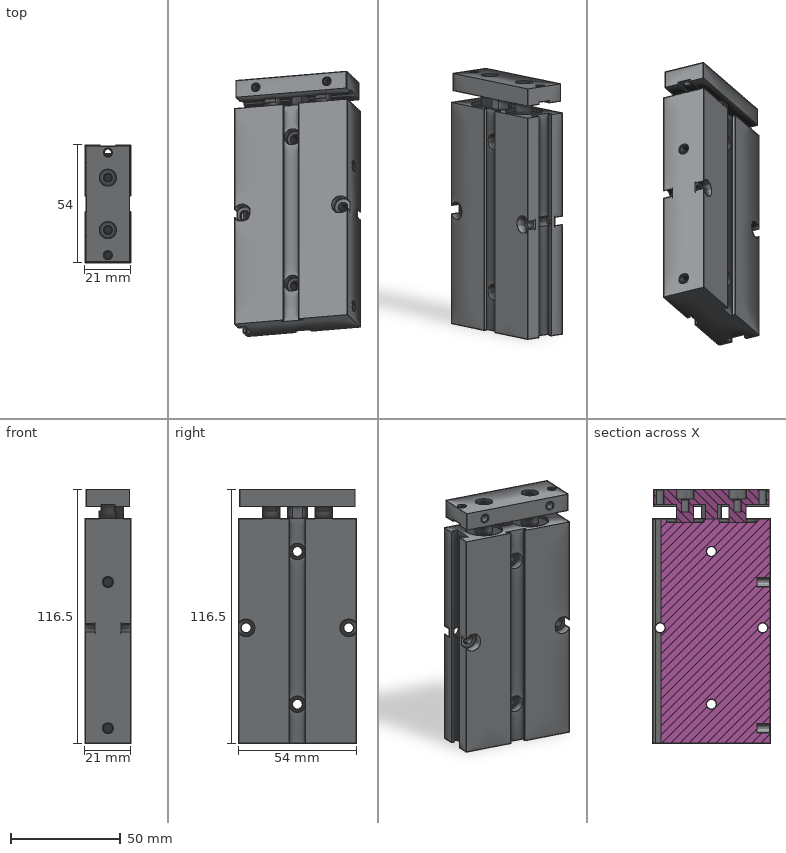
import cadquery as cq
import math


EDGE_CHAMFER = 0.2

HOUSING_X = 21.0
HOUSING_Y = 54.0
HOUSING_Z = 103.0

PLATE_X = 20.0
PLATE_Y = 53.0
PLATE_Z = 8.0
PLATE_GAP = 5.5
PLATE_BOTTOM = HOUSING_Z + PLATE_GAP
PLATE_TOP = PLATE_BOTTOM + PLATE_Z

ROD_DIAMETER = 8.0
ROD_Y = 12.0
FLAT_WIDTH = 6.3
ROUND_HEIGHT = 3.5
FLAT_BOTTOM = HOUSING_Z + ROUND_HEIGHT
GROOVE_DEPTH = 1.0
GLAND_DIAMETER = 17.0
GLAND_DEPTH = 1.5
ROD_BOTTOM = HOUSING_Z - GLAND_DEPTH

STOP_ACROSS_FLATS = 8.0
STOP_X = 3.1
STOP_CORNER_ANGLE = math.radians(30)

M4_CORE = 3.24
M4_MOUTH = 4.13
M5_CORE = 4.13
M5_MOUTH = 5.0

CORNER_HOLE_Y = 23.5
SIDE_HOLE_Y = 17.0
SIDE_HOLE_DEPTH = 6.0
SCREW_HEAD_DIAMETER = 7.8
SCREW_HEAD_DEPTH = 4.4
ROD_TAP_DEPTH = 6.0

SLOT_WIDTH = 7.2
SLOT_LIP = 1.4
SLOT_UNDERCUT_WIDTH = 10.0
SIDE_SLOT_DEPTH = 2.4
BACK_SLOT_DEPTH = 3.8

MOUNT_DIAMETER = 4.5
SLOT_MOUNT_Z = (18.0, 88.0)
SLOT_MOUNT_HEAD = 7.5
SLOT_MOUNT_HEAD_DEPTH = 4.4
EDGE_MOUNT_Y = 23.5
EDGE_MOUNT_Z = 53.0
EDGE_MOUNT_HEAD = 8.0
EDGE_MOUNT_HEAD_DEPTH = 4.6

PORT_Z = (7.0, 74.0)
PORT_DEPTH = 6.0


def block(size_x, size_y, bottom, height):
    """Box centred on the Z axis, standing on the height `bottom`."""
    return cq.Workplane("XY").workplane(offset=bottom).rect(size_x, size_y).extrude(height)


def rod_along(start, direction, diameter, length):
    """Cylinder from a start point along a direction."""
    return cq.Workplane(cq.Solid.makeCylinder(diameter / 2, length, cq.Vector(*start), cq.Vector(*direction)))


def tapped_hole(start, direction, core, mouth, depth):
    """Cutter for a tapped hole whose mouth has a 45 degree countersink."""
    sink_depth = (mouth - core) / 2
    sink = cq.Solid.makeCone(mouth / 2, core / 2, sink_depth, cq.Vector(*start), cq.Vector(*direction))
    return rod_along(start, direction, core, depth).union(cq.Workplane(sink))


def t_slot(face_distance, depth, angle):
    """Cutter for a full-height T-slot in the face whose outward normal is turned by `angle` from +X."""
    mouth = SLOT_WIDTH / 2
    flared = mouth + EDGE_CHAMFER
    wide = SLOT_UNDERCUT_WIDTH / 2
    lip = face_distance - SLOT_LIP
    floor = face_distance - depth
    half = [
        (face_distance, flared),
        (face_distance - EDGE_CHAMFER, mouth),
        (lip, mouth),
        (lip, wide),
        (floor, wide),
    ]
    mirrored = [(x, -y) for x, y in reversed(half)]
    slot = cq.Workplane("XY").polyline(half + mirrored).close().extrude(HOUSING_Z)
    return slot.rotate((0, 0, 0), (0, 0, 1), angle)


def mounting_hole(y, z, face, head_diameter, head_depth):
    """Cutter for a hole along X, counterbored from the faces at -`face` and +`face`."""
    cutter = rod_along((-face, y, z), (1, 0, 0), MOUNT_DIAMETER, 2 * face)
    for side in (-1, 1):
        head = rod_along((side * face, y, z), (-side, 0, 0), head_diameter, head_depth)
        cutter = cutter.union(head)
    return cutter


def make_housing():
    housing = block(HOUSING_X, HOUSING_Y, 0, HOUSING_Z).edges("|Z").chamfer(EDGE_CHAMFER)
    housing = housing.cut(t_slot(HOUSING_X / 2, SIDE_SLOT_DEPTH, 0))
    housing = housing.cut(t_slot(HOUSING_X / 2, SIDE_SLOT_DEPTH, 180))
    housing = housing.cut(t_slot(HOUSING_Y / 2, BACK_SLOT_DEPTH, 90))
    slot_floor = HOUSING_X / 2 - SIDE_SLOT_DEPTH
    for z in SLOT_MOUNT_Z:
        housing = housing.cut(mounting_hole(0, z, slot_floor, SLOT_MOUNT_HEAD, SLOT_MOUNT_HEAD_DEPTH))
    for side in (-1, 1):
        edge_y = side * EDGE_MOUNT_Y
        edge_hole = mounting_hole(edge_y, EDGE_MOUNT_Z, HOUSING_X / 2, EDGE_MOUNT_HEAD, EDGE_MOUNT_HEAD_DEPTH)
        housing = housing.cut(edge_hole)
        gland_top = (0, side * ROD_Y, HOUSING_Z)
        housing = housing.cut(rod_along(gland_top, (0, 0, -1), GLAND_DIAMETER, GLAND_DEPTH))
    for z in PORT_Z:
        mouth_centre = (0, -HOUSING_Y / 2, z)
        housing = housing.cut(tapped_hole(mouth_centre, (0, 1, 0), M5_CORE, M5_MOUTH, PORT_DEPTH))
    return housing


def make_rod(y):
    """Round rod whose upper end has two flats that fit the groove under the plate."""
    rod = rod_along((0, y, ROD_BOTTOM), (0, 0, 1), ROD_DIAMETER, FLAT_BOTTOM - ROD_BOTTOM)
    neck_height = PLATE_BOTTOM + GROOVE_DEPTH - FLAT_BOTTOM
    neck = rod_along((0, y, FLAT_BOTTOM), (0, 0, 1), ROD_DIAMETER, neck_height)
    return rod.union(neck.intersect(block(FLAT_WIDTH, PLATE_Y, FLAT_BOTTOM, neck_height)))


def make_plate():
    plate = block(PLATE_X, PLATE_Y, PLATE_BOTTOM, PLATE_Z).edges("|Z").chamfer(EDGE_CHAMFER)
    return plate.cut(block(FLAT_WIDTH, PLATE_Y, PLATE_BOTTOM, GROOVE_DEPTH))


def make_stop():
    """Hexagonal stop between housing and plate, with two flats facing along X and bevelled lower corners."""
    flat_radius = STOP_ACROSS_FLATS / 2
    across_corners = STOP_ACROSS_FLATS / math.cos(math.radians(30))
    height = PLATE_GAP + GROOVE_DEPTH
    hexagon = cq.Workplane("XY").polygon(6, across_corners).extrude(height)
    bevel_top_radius = flat_radius + height / math.tan(STOP_CORNER_ANGLE)
    bevel = cq.Workplane(cq.Solid.makeCone(flat_radius, bevel_top_radius, height))
    hexagon = hexagon.intersect(bevel)
    return hexagon.rotate((0, 0, 0), (0, 0, 1), 90).translate((STOP_X, 0, HOUSING_Z))


def make_carriage():
    carriage = make_plate().union(make_stop())
    carriage = carriage.union(make_rod(-ROD_Y)).union(make_rod(ROD_Y))
    for side in (-1, 1):
        head_top = (0, side * ROD_Y, PLATE_TOP)
        head_floor = (0, side * ROD_Y, PLATE_TOP - SCREW_HEAD_DEPTH)
        corner = (0, side * CORNER_HOLE_Y, PLATE_TOP)
        side_mouth = (-PLATE_X / 2, side * SIDE_HOLE_Y, PLATE_BOTTOM + PLATE_Z / 2)
        carriage = carriage.cut(rod_along(head_top, (0, 0, -1), SCREW_HEAD_DIAMETER, SCREW_HEAD_DEPTH))
        carriage = carriage.cut(tapped_hole(head_floor, (0, 0, -1), M4_CORE, M4_MOUTH, ROD_TAP_DEPTH))
        carriage = carriage.cut(tapped_hole(corner, (0, 0, -1), M4_CORE, M4_MOUTH, PLATE_Z))
        carriage = carriage.cut(tapped_hole(side_mouth, (1, 0, 0), M4_CORE, M4_MOUTH, SIDE_HOLE_DEPTH))
    return carriage


housing = make_housing()
carriage = make_carriage()

result = cq.Compound.makeCompound([*housing.solids().vals(), *carriage.solids().vals()])